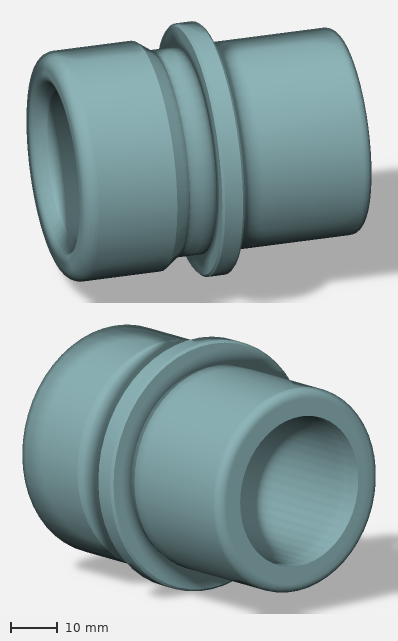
import cadquery as cq
import math

length = 65.0
shank_end = 28.4
flange_start = 30.0
flange_width = 5.0
flange_end = flange_start + flange_width
cone_start = 41.0
cone_end = 44.5

flange_radius = 27.5
shank_radius = 22.5
head_radius = 25.0
bore_radius = 16.5
mouth_radius = 18.8

groove_depth = 0.45
rear_rounding = 2.0
head_rounding = 3.0
flange_chamfer = 0.5
mouth_rounding = 2.3
bore_edge_rounding = 0.5

groove_radius = shank_radius - groove_depth
diagonal = math.cos(math.radians(45))
mouth_face_radius = mouth_radius + mouth_rounding * diagonal
mouth_cone_front = length - mouth_rounding * (1 - diagonal)
mouth_cone_corner = mouth_cone_front - (mouth_radius - bore_radius)
half_rounding_angle = math.radians(45 / 2)


def axial(distance):
    """Y coordinate of a distance from the rear face."""
    return length / 2 - distance


def point(radius, distance):
    return radius, axial(distance)


bore_end = mouth_cone_corner - bore_edge_rounding * math.tan(half_rounding_angle)
cone_inner_radius = bore_radius + bore_edge_rounding * (1 - diagonal)
cone_inner_end = bore_end + bore_edge_rounding * diagonal

outline = (
    cq.Workplane("XY")
    .moveTo(*point(bore_radius, 0))
    .lineTo(*point(shank_radius - rear_rounding, 0))
    .threePointArc(
        point(
            shank_radius - rear_rounding * (1 - diagonal),
            rear_rounding * (1 - diagonal),
        ),
        point(shank_radius, rear_rounding),
    )
    .lineTo(*point(shank_radius, shank_end))
    .lineTo(*point(groove_radius, shank_end + groove_depth))
    .lineTo(*point(groove_radius, flange_start))
    .lineTo(*point(flange_radius - flange_chamfer, flange_start))
    .lineTo(*point(flange_radius, flange_start + flange_chamfer))
    .lineTo(*point(flange_radius, flange_end - flange_chamfer))
    .lineTo(*point(flange_radius - flange_chamfer, flange_end))
    .lineTo(*point(shank_radius, flange_end))
    .lineTo(*point(shank_radius, cone_start))
    .lineTo(*point(head_radius, cone_end))
    .lineTo(*point(head_radius, length - head_rounding))
    .threePointArc(
        point(
            head_radius - head_rounding * (1 - diagonal),
            length - head_rounding * (1 - diagonal),
        ),
        point(head_radius - head_rounding, length),
    )
    .lineTo(*point(mouth_face_radius, length))
    .threePointArc(
        point(
            mouth_face_radius - mouth_rounding * math.sin(half_rounding_angle),
            length - mouth_rounding * (1 - math.cos(half_rounding_angle)),
        ),
        point(mouth_radius, mouth_cone_front),
    )
    .lineTo(*point(cone_inner_radius, cone_inner_end))
    .threePointArc(
        point(
            bore_radius + bore_edge_rounding * (1 - math.cos(half_rounding_angle)),
            bore_end + bore_edge_rounding * math.sin(half_rounding_angle),
        ),
        point(bore_radius, bore_end),
    )
    .close()
)

result = outline.revolve(360, (0, 0, 0), (0, 1, 0))